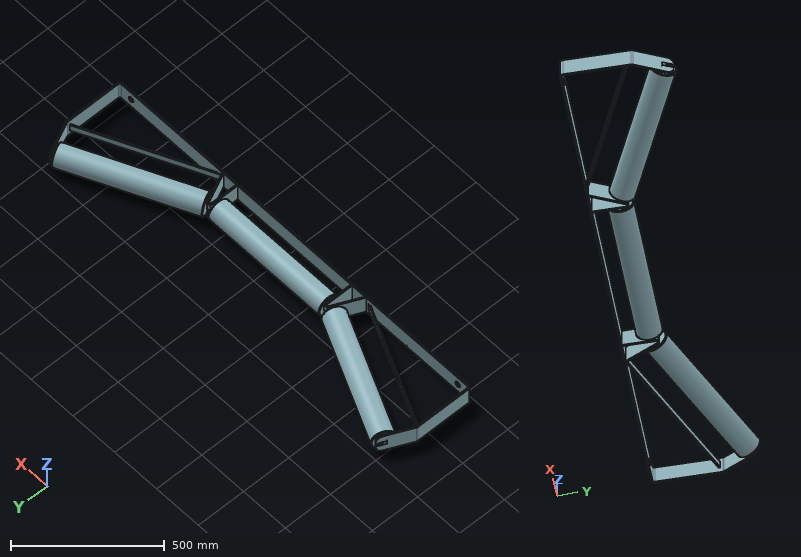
import cadquery as cq
import math

frame_length = 1680.0
trough_angle = 25.0
plate_thickness = 5.5
plate_width = 77.0
corner_radius = 12.0

roller_diameter = 89.0
roller_length = 531.0
roller_gap = 5.9
roller_chamfer = 3.0
shaft_size = 15.0
centre_roller_y = 97.0
wing_roller_x = 543.0
wing_roller_y = 222.0

flange_above_axis = 32.0
tip_radius = 25.0
bracket_height = 126.0

hole_diameter = 22.0
hole_x = 781.0

brace_width = 30.0
brace_contact_y = 223.0

angle = math.radians(trough_angle)
half_length = frame_length / 2
wall_inner_x = half_length - plate_thickness
support_inner = roller_length / 2 + roller_gap
support_outer = support_inner + plate_thickness
support_middle = (support_inner + support_outer) / 2


def wing_point(along, across):
    """Point in the right wing roller's axes: along its axis, and square to it, away from the base."""
    return (
        wing_roller_x + along * math.cos(angle) - across * math.sin(angle),
        wing_roller_y + along * math.sin(angle) + across * math.cos(angle),
    )


def wing_point_at_x(along, x):
    """Point of the line square to the wing roller at the given distance along it, at a given x."""
    return wing_point(along, (wing_roller_x + along * math.cos(angle) - x) / math.sin(angle))


def wing_point_at_y(along, y):
    """Point of the line square to the wing roller at the given distance along it, at a given y."""
    return wing_point(along, (y - wing_roller_y - along * math.sin(angle)) / math.cos(angle))


def extruded(points, width):
    """Closed outline extruded by equal amounts above and below Z = 0."""
    return cq.Workplane("XY").polyline(points).close().extrude(width / 2, both=True)


def nearest(point, z=0):
    """Selects the edge whose middle is nearest to the given point."""
    return cq.selectors.NearestToPointSelector((*point, z))


def mirrored(body):
    """The body's copy on the other side of the YZ plane."""
    return body.mirror("YZ")


def placed_on_wing(body):
    """Moves a body from the X axis to the right wing roller's axis."""
    return body.rotate((0, 0, 0), (0, 0, 1), trough_angle).translate((wing_roller_x, wing_roller_y, 0))


def shaft_slot(plate_x):
    slot_top = 2 * flange_above_axis
    slot = cq.Workplane("XY").box(2 * plate_thickness, slot_top + shaft_size / 2, shaft_size)
    return slot.translate((plate_x, (slot_top - shaft_size / 2) / 2, 0))


def make_frame():
    half_outline = [
        (0, 0),
        (half_length, 0),
        wing_point_at_x(support_outer, half_length),
        wing_point(support_outer, flange_above_axis),
        wing_point(support_inner, flange_above_axis),
        wing_point_at_x(support_inner, wall_inner_x),
        (wall_inner_x, plate_thickness),
        (0, plate_thickness),
    ]
    half = extruded(half_outline, plate_width)
    bend_outer = wing_point_at_x(support_outer, half_length)
    bend_inner = wing_point_at_x(support_inner, wall_inner_x)
    for corner in ((half_length, 0), bend_outer):
        half = half.edges(nearest(corner)).fillet(corner_radius)
    for corner in ((wall_inner_x, plate_thickness), bend_inner):
        half = half.edges(nearest(corner)).fillet(corner_radius - plate_thickness)

    tip_middle = wing_point(support_middle, flange_above_axis)
    for side in (-1, 1):
        half = half.edges(nearest(tip_middle, side * plate_width / 2)).fillet(tip_radius)

    half = half.cut(placed_on_wing(shaft_slot(support_middle)))
    hole = cq.Workplane("XZ").center(hole_x, 0).circle(hole_diameter / 2).extrude(-plate_thickness)
    half = half.cut(hole)
    return half.union(mirrored(half))


def make_bracket():
    top_inner = bracket_height - plate_thickness
    outline = [
        (support_inner, plate_thickness),
        (support_inner, bracket_height),
        wing_point_at_y(-support_inner, bracket_height),
        wing_point_at_y(-support_inner, plate_thickness),
        wing_point_at_y(-support_outer, plate_thickness),
        wing_point_at_y(-support_outer, top_inner),
        (support_outer, top_inner),
        (support_outer, plate_thickness),
    ]
    bracket = extruded(outline, plate_width)
    bracket = bracket.cut(shaft_slot(support_middle).translate((0, centre_roller_y, 0)))
    return bracket.cut(placed_on_wing(shaft_slot(-support_middle)))


def make_brace():
    slope = math.tan(angle)
    lower_foot_x = wall_inner_x - (brace_contact_y - plate_thickness) / slope
    outline = [
        (lower_foot_x, plate_thickness),
        (wall_inner_x, brace_contact_y),
        (
            wall_inner_x - plate_thickness * math.sin(angle),
            brace_contact_y + plate_thickness * math.cos(angle),
        ),
        (lower_foot_x - plate_thickness / math.sin(angle), plate_thickness),
    ]
    return extruded(outline, brace_width)


def make_roller():
    shell = cq.Workplane("YZ").circle(roller_diameter / 2).extrude(roller_length)
    shell = shell.translate((-roller_length / 2, 0, 0))
    shell = shell.faces("<X or >X").chamfer(roller_chamfer)
    shaft = cq.Workplane("XY").box(2 * support_outer, shaft_size, shaft_size)
    return shell.union(shaft)


frame = make_frame()
bracket = make_bracket()
brace = make_brace()
centre_roller = make_roller().translate((0, centre_roller_y, 0))
wing_roller = placed_on_wing(make_roller())

result = cq.Compound.makeCompound([
    frame.val(),
    centre_roller.val(),
    *[solid.val() for body in (bracket, brace, wing_roller) for solid in (body, mirrored(body))],
])